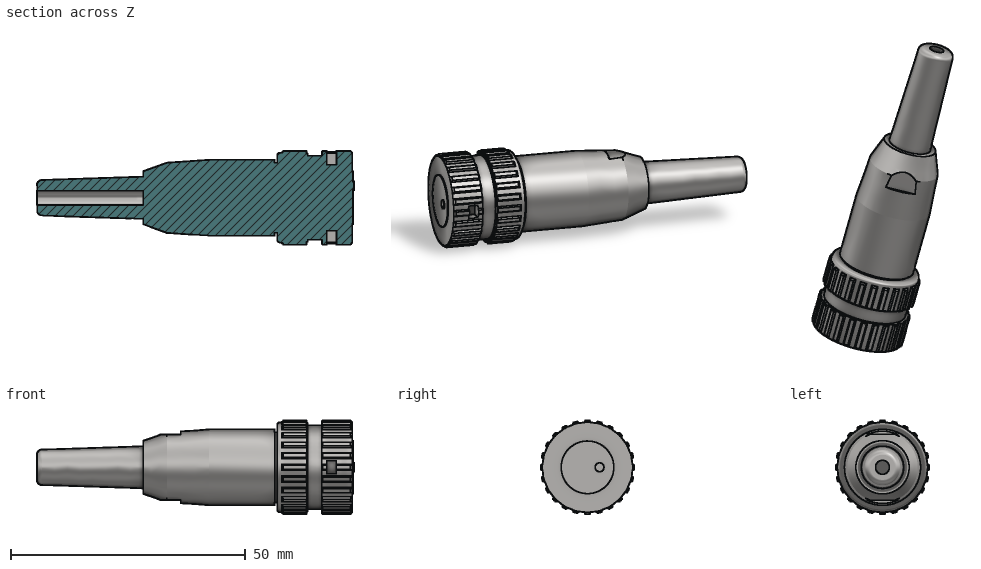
import cadquery as cq

length = 67.6

tail_end = 22.65
tail_tip_radius = 3.8
tail_root_radius = 4.5
tail_tip_rounding = 1.15
cable_hole_diameter = 3.0

nose_start_radius = 5.7
shoulder_start = 27.7
shoulder_start_radius = 7.5
barrel_start = 36.7
barrel_end = 50.6
barrel_radius = 16.2 / 2
neck_radius = 15.0 / 2

flat_to_flat = 14.0
flat_end = 30.6

nut_start = 51.2
nut_end = 67.2
ring_radius = 19.2 / 2
nut_start_rounding = 0.6
groove_start = 57.7
groove_end = 60.7
groove_radius = 18.0 / 2
groove_edge_chamfer = 0.3

rib_count = 24
rib_tip_radius = 20.0 / 2
rib_tip_width = 0.9
rib_base_width = 1.35
rib_sink = 0.3
rear_rib_start = 52.2
rear_rib_end = 57.45
rear_rib_chamfers = (0.35, 0.1)
front_rib_chamfers = (0.2, 0.4)

window_start = 61.8
window_end = 63.8
window_height = 2.8
window_floor_radius = 14.1 / 2
window_cut_span = 2 * rib_tip_radius + 0.7

insert_radius = 5.6
insert_end = 67.4
pin_diameter = 1.9
pin_offset = 2.6


def x_cylinder(start, end, radius, y=0.0):
    """Cylinder along X between two stations."""
    return cq.Workplane("YZ", origin=(start, y, 0)).circle(radius).extrude(end - start)


def revolve_about_x(outline):
    """Full turn of an XY half-outline about the X axis."""
    return outline.close().revolve(360, (0, 0, 0), (1, 0, 0))


def make_tail():
    tail = revolve_about_x(
        cq.Workplane("XY")
        .moveTo(0, 0)
        .lineTo(0, tail_tip_radius)
        .lineTo(tail_end, tail_root_radius)
        .lineTo(tail_end, 0)
    )
    return tail.faces("<X").edges().fillet(tail_tip_rounding)


def make_back_shell():
    shell = revolve_about_x(
        cq.Workplane("XY")
        .moveTo(tail_end, 0)
        .lineTo(tail_end, nose_start_radius)
        .lineTo(shoulder_start, shoulder_start_radius)
        .lineTo(barrel_start, barrel_radius)
        .lineTo(barrel_end, barrel_radius)
        .lineTo(barrel_end, neck_radius)
        .lineTo(nut_start, neck_radius)
        .lineTo(nut_start, 0)
    )
    for side in (1, -1):
        flat_cut = cq.Workplane("XY").box(
            flat_end - tail_end, 2 * barrel_radius, barrel_radius, centered=(False, True, False)
        )
        if side < 0:
            flat_cut = flat_cut.mirror("XY")
        shell = shell.cut(flat_cut.translate((tail_end, 0, side * flat_to_flat / 2)))
    return shell


def make_ribs(start, end, start_chamfer, end_chamfer):
    """Tapered ribs with chamfered ends, evenly spaced around the nut."""
    base_radius = ring_radius - rib_sink
    rib = (
        cq.Workplane("YZ", origin=(start, 0, 0))
        .polyline(
            [
                (-rib_base_width / 2, base_radius),
                (rib_base_width / 2, base_radius),
                (rib_base_width / 2, ring_radius),
                (rib_tip_width / 2, rib_tip_radius),
                (-rib_tip_width / 2, rib_tip_radius),
                (-rib_base_width / 2, ring_radius),
            ]
        )
        .close()
        .extrude(end - start)
        .faces("<X").edges(">Z").chamfer(start_chamfer)
        .faces(">X").edges(">Z").chamfer(end_chamfer)
    )
    ribs = cq.Workplane("XY")
    for i in range(rib_count):
        ribs = ribs.add(rib.rotate((0, 0, 0), (1, 0, 0), i * 360 / rib_count))
    return ribs


def make_nut():
    rear_ring = x_cylinder(nut_start, groove_start, ring_radius)
    rear_ring = rear_ring.faces("<X").edges().fillet(nut_start_rounding)
    rear_ring = rear_ring.faces(">X").edges().chamfer(groove_edge_chamfer)
    groove_core = x_cylinder(groove_start, groove_end, groove_radius)
    front_ring = x_cylinder(groove_end, nut_end, ring_radius)
    nut = rear_ring.union(groove_core).union(front_ring)

    rear_ribs = make_ribs(rear_rib_start, rear_rib_end, *rear_rib_chamfers)
    front_ribs = make_ribs(groove_end, nut_end, *front_rib_chamfers)
    for rib in rear_ribs.vals() + front_ribs.vals():
        nut = nut.union(cq.Workplane(rib))

    windows = (
        cq.Workplane("XY", origin=((window_start + window_end) / 2, 0, 0))
        .box(window_end - window_start, window_cut_span, window_height)
        .cut(x_cylinder(window_start, window_end, window_floor_radius))
    )
    return nut.cut(windows)


insert = x_cylinder(nut_end, insert_end, insert_radius)
pin = x_cylinder(insert_end, length, pin_diameter / 2, pin_offset)
cable_hole = x_cylinder(0, tail_end, cable_hole_diameter / 2)

body = make_tail().union(make_back_shell()).union(make_nut())
result = body.union(insert).union(pin).cut(cable_hole)